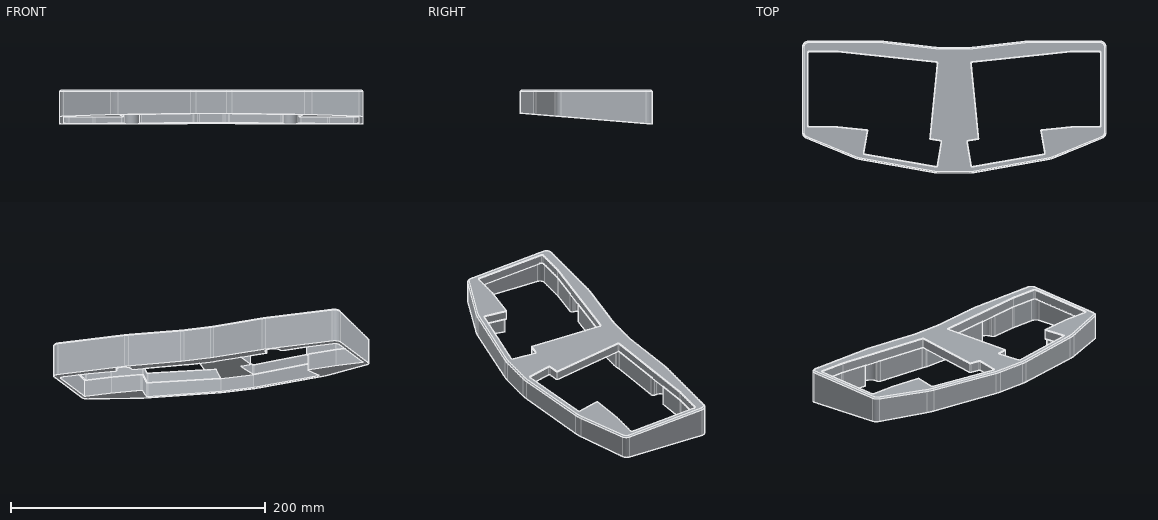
import cadquery as cq
import math

length = 238.5
depth = 103.8
height = 27.0
half_length = length / 2
half_depth = depth / 2

front_rise = 8.5

plate_thickness = 8.0
cavity_height = height - plate_thickness
rim_chamfer = 1.2
window_chamfer = 0.5

rear_flat = (12.5, 46.8)
rear_bend = (57.3, half_depth)
rear_corner = (half_length, half_depth)
side_corner = (half_length, -23.1)
front_bend = (76.4, -40.8)
front_flat = (14.0, -half_depth)
outline_points = [rear_flat, rear_bend, rear_corner, side_corner, front_bend, front_flat]
corner_radius = 5.0
flat_radius = 25.0
bend_radius = 28.5

window_rear_y = 43.5
window_side_x = 114.8
window_side_front_y = -15.3
window_points = [
    (window_side_x, window_rear_y),
    (91.9, window_rear_y),
    (13.4, 35.0),
    (19.3, -25.3),
    (10.3, -26.7),
    (13.5, -46.8),
    (71.0, -36.7),
    (67.8, -18.0),
    (93.5, window_side_front_y),
    (window_side_x, window_side_front_y),
]
window_corner_radius = 0.7

cavity_rear_y = 44.0
cavity_side_x = 116.0
cavity_side_front_y = -16.2
cavity_bridge_rear = (10.0, 34.5)
cavity_bridge_shoulder = (13.8, 35.5)
cavity_rear_bend = (92.0, cavity_rear_y)
cavity_rear_corner = (cavity_side_x, cavity_rear_y)
cavity_side_corner = (cavity_side_x, cavity_side_front_y)
cavity_tab_bend = (93.5, cavity_side_front_y)
cavity_tab_tip = (68.7, -18.5)
cavity_tab_front = (72.0, -37.7)
cavity_bridge_front = (13.5, -48.0)
cavity_points = [
    cavity_bridge_rear,
    cavity_bridge_shoulder,
    cavity_rear_bend,
    cavity_rear_corner,
    cavity_side_corner,
    cavity_tab_bend,
    cavity_tab_tip,
    cavity_tab_front,
    cavity_bridge_front,
]
cavity_corner_radius = 4.0
cavity_bend_radius = 15.0
cavity_shoulder_radius = 5.0
cavity_tab_radius = 1.2

relief_x = 62.5
relief_radius = 6.0
relief_depth = 9.5
relief_edge_radius = 2.0
wall_run = cavity_rear_bend[0] - cavity_bridge_shoulder[0]
wall_rise = cavity_rear_bend[1] - cavity_bridge_shoulder[1]
wall_angle = math.degrees(math.atan2(wall_rise, wall_run))
relief_y = cavity_rear_bend[1] - (cavity_rear_bend[0] - relief_x) * wall_rise / wall_run


def mirrored_prism(points, prism_height):
    """Prism on a +X half outline joined to its reflection in the YZ plane."""
    outline = points + [(-x, y) for x, y in reversed(points)]
    return cq.Workplane("XY").polyline(outline).close().extrude(prism_height)


def round_corners(solid, points, radius):
    """Fillet the vertical edges standing on the given points and their reflections."""
    tolerance = 0.12
    for x, y in points:
        for corner_x in (x, -x):
            near_corner = cq.selectors.BoxSelector(
                (corner_x - tolerance, y - tolerance, 0),
                (corner_x + tolerance, y + tolerance, height),
            )
            solid = solid.edges("|Z").edges(near_corner).fillet(radius)
    return solid


def body():
    """Solid block with rounded corners and a chamfered top rim."""
    solid = mirrored_prism(outline_points, height)
    solid = round_corners(solid, [rear_corner, side_corner], corner_radius)
    solid = round_corners(solid, [rear_flat, front_flat], flat_radius)
    solid = round_corners(solid, [rear_bend, front_bend], bend_radius)
    return solid.faces(">Z").edges().chamfer(rim_chamfer)


def window():
    """Opening through the plate on the +X side, widened at the top by a chamfer."""
    opening = (
        cq.Workplane("XY", origin=(0, 0, cavity_height))
        .polyline(window_points)
        .close()
        .extrude(plate_thickness)
        .edges("|Z")
        .fillet(window_corner_radius)
    )
    chamfer_start = height - window_chamfer
    flare = (
        opening.faces("<Z")
        .wires()
        .translate((0, 0, chamfer_start - cavity_height))
        .toPending()
        .extrude(window_chamfer, taper=-45)
    )
    return opening.union(flare)


def relief():
    """Round-ended slot on the +X side running back into the rear wall."""
    return (
        cq.Workplane("XY")
        .slot2D(2 * relief_depth, 2 * relief_radius, 90)
        .extrude(cavity_height)
        .rotate((0, 0, 0), (0, 0, 1), wall_angle)
        .translate((relief_x, relief_y, 0))
    )


def cavity():
    """Hollow below the plate, open at the bottom."""
    solid = mirrored_prism(cavity_points, cavity_height)
    solid = round_corners(solid, [cavity_rear_corner], cavity_corner_radius)
    solid = round_corners(solid, [cavity_rear_bend], cavity_bend_radius)
    solid = round_corners(solid, [cavity_bridge_rear, cavity_bridge_shoulder], cavity_shoulder_radius)
    solid = round_corners(solid, [cavity_tab_tip, cavity_tab_front], cavity_tab_radius)
    right_relief = relief()
    solid = solid.union(right_relief).union(right_relief.mirror("YZ"))

    half_mouth_x = relief_radius * math.cos(math.radians(wall_angle))
    half_mouth_y = relief_radius * math.sin(math.radians(wall_angle))
    mouth_corners = [
        (relief_x - half_mouth_x, relief_y - half_mouth_y),
        (relief_x + half_mouth_x, relief_y + half_mouth_y),
    ]
    return round_corners(solid, mouth_corners, relief_edge_radius)


def underside_wedge():
    """Material removed below the sloping underside."""
    return (
        cq.Workplane("YZ")
        .polyline([(half_depth, 0), (-half_depth, 0), (-half_depth, front_rise)])
        .close()
        .extrude(half_length, both=True)
    )


right_window = window()
result = (
    body()
    .cut(cavity())
    .cut(right_window)
    .cut(right_window.mirror("YZ"))
    .cut(underside_wedge())
)